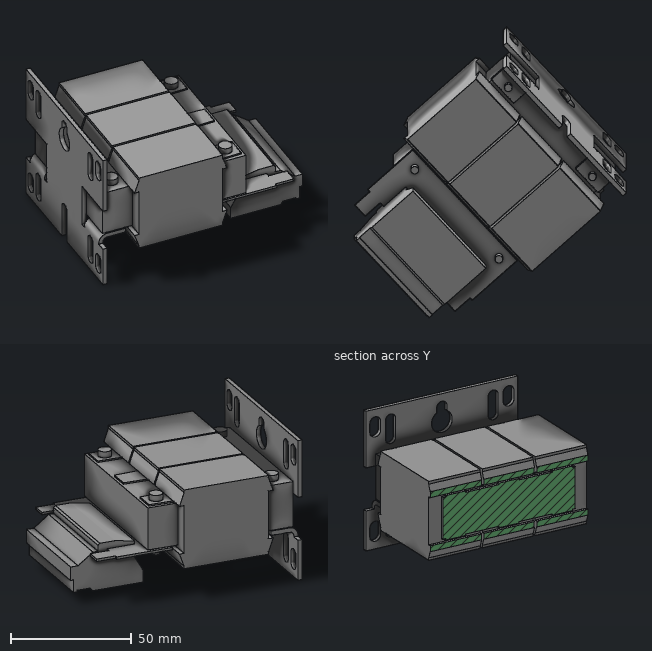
import cadquery as cq
import math


PLATE_WIDTH = 74.0
PLATE_HEIGHT = 63.0
PLATE_THICKNESS = 2.0
OUTER_SLOT_X, OUTER_SLOT_Z = 32.5, 23.5
OUTER_SLOT_LENGTH, OUTER_SLOT_WIDTH = 9.0, 5.2
INNER_SLOT_X, INNER_SLOT_Z = 25.0, 21.0
INNER_SLOT_LENGTH, INNER_SLOT_WIDTH = 13.3, 4.8
KEYHOLE_Z = 19.0
KEYHOLE_DIAMETER = 10.0
KEYHOLE_NECK_WIDTH = 5.0
KEYHOLE_TOP_Z = 28.0
BOTTOM_SLOT_WIDTH = 5.0
BOTTOM_SLOT_TOP_Z = -14.0
WINDOW_INNER_X = 17.0
WINDOW_TOP_Z, WINDOW_BOTTOM_Z = 5.9, -13.4

CORE_WIDTH = 64.6
CORE_Z = 1.15
CORE_HEIGHT = 19.0
INSULATION_THICKNESS = 0.65
YOKE_FRONT_END = 15.3
YOKE_REAR_START = 54.1
YOKE_REAR_END = 68.3
CORE_BOTTOM = CORE_Z - CORE_HEIGHT / 2
CORE_TOP = CORE_Z + CORE_HEIGHT / 2
STACK_BOTTOM = CORE_BOTTOM - INSULATION_THICKNESS
STACK_TOP = CORE_TOP + INSULATION_THICKNESS

COIL_PITCH = 25.8
CENTRE_COIL_WIDTH = 24.8
COILS_WIDTH = 77.0
COIL_GAP = COIL_PITCH - CENTRE_COIL_WIDTH
OUTER_COIL_WIDTH = (COILS_WIDTH - CENTRE_COIL_WIDTH) / 2 - COIL_GAP
COIL_Z = 1.0
COIL_HALF_HEIGHT = 17.8
COIL_FRONT, COIL_REAR = 16.0, 54.6
FLARE_DEPTH = 2.1
FLARE_SHOULDER = 1.85
FLARE_START = 16.6
FLARE_TIP = 11.4
FLARE_BASE = 10.75

TONGUE_X = 26.0
TONGUE_TIP_WIDTH = 9.2
TONGUE_ROOT_WIDTH = 10.0
TONGUE_END = 67.05

BOLT_X = 26.0
BOLT_ROWS_Y = (9.1, 61.8)
BOLT_HEAD_DIAMETER = 5.8
BOLT_HEAD_TOP = 14.0
BOLT_SHANK_DIAMETER = 3.2
BOLT_END = -13.4

TAB_OUTER_X, TAB_INNER_X = 33.0, 19.1
TAB_END = 12.4
BEND_INNER_RADIUS = 2.0
BEND_OUTER_RADIUS = BEND_INNER_RADIUS + PLATE_THICKNESS

BRACKET_THICKNESS = 1.05
BRACKET_FRONT, BRACKET_REAR = 57.2, 82.6
BRACKET_EAR_X = 27.75
BRACKET_EAR_WIDTH = 6.5
BRACKET_EAR_END = 91.1

TERMINAL_WIDTH = 45.0
BLOCK_BOTTOM, BLOCK_TOP = -26.9, -5.95
BLOCK_FOOT_Y, BLOCK_NECK_Y = 66.0, 70.0
BLOCK_SLOPE_BOTTOM, BLOCK_SLOPE_TOP = -21.4, -14.7
CAP_FRONT_Z = -7.6
CAP_FLAT_START, CAP_REAR = 78.9, 86.7
CAP_CHAMFER = 0.8
LEDGE_END, LEDGE_Z = 89.0, -9.4
NOSE_START, NOSE_END = 95.8, 99.2
NOSE_BOTTOM, NOSE_TOP = -20.5, -14.4
LIP_START, LIP_END = 96.1, 97.9
LIP_BOTTOM = -26.2
UNDERCUT_START, UNDERCUT_Z = 90.2, -25.5
UNDERCUT_RAMP = 1.1


def box(x_range, y_range, z_range):
    """Axis-aligned block between the given limits."""
    size = [high - low for low, high in (x_range, y_range, z_range)]
    corner = (x_range[0], y_range[0], z_range[0])
    return cq.Workplane("XY").box(*size, centered=False).translate(corner)


def centred_box(width, y_range, z_range, x=0.0):
    """Block of the given width centred on x."""
    return box((x - width / 2, x + width / 2), y_range, z_range)


def extrude_side_profile(sketch, x_start, width):
    """Extrude a closed YZ outline along +X from x_start."""
    return sketch.close().extrude(width).translate((x_start, 0, 0))


def plate_sketch():
    """Sketch plane on the plate front, X to the right and Z up; its normal points to -Y."""
    return cq.Workplane("XZ")


def plate_slots(x, z, length, width):
    """Four vertical slots placed symmetrically about the plate centre."""
    centres = [(sx * x, sz * z) for sx in (-1, 1) for sz in (-1, 1)]
    return plate_sketch().pushPoints(centres).slot2D(length, width, 90).extrude(-PLATE_THICKNESS)


def keyhole():
    neck_radius = KEYHOLE_NECK_WIDTH / 2
    neck_length = KEYHOLE_TOP_Z - KEYHOLE_Z + neck_radius
    neck_centre = KEYHOLE_TOP_Z - neck_length / 2
    circle = plate_sketch().center(0, KEYHOLE_Z).circle(KEYHOLE_DIAMETER / 2).extrude(-PLATE_THICKNESS)
    neck = (
        plate_sketch()
        .center(0, neck_centre)
        .slot2D(neck_length, KEYHOLE_NECK_WIDTH, 90)
        .extrude(-PLATE_THICKNESS)
    )
    return circle.union(neck)


def bottom_slot():
    radius = BOTTOM_SLOT_WIDTH / 2
    shoulder = BOTTOM_SLOT_TOP_Z - radius
    return (
        plate_sketch()
        .moveTo(-radius, -PLATE_HEIGHT / 2)
        .lineTo(-radius, shoulder)
        .threePointArc((0, BOTTOM_SLOT_TOP_Z), (radius, shoulder))
        .lineTo(radius, -PLATE_HEIGHT / 2)
        .close()
        .extrude(-PLATE_THICKNESS)
    )


def mounting_plate():
    depth = (0, PLATE_THICKNESS)
    half_height = PLATE_HEIGHT / 2
    plate = centred_box(PLATE_WIDTH, depth, (-half_height, half_height))
    plate = plate.cut(plate_slots(OUTER_SLOT_X, OUTER_SLOT_Z, OUTER_SLOT_LENGTH, OUTER_SLOT_WIDTH))
    plate = plate.cut(plate_slots(INNER_SLOT_X, INNER_SLOT_Z, INNER_SLOT_LENGTH, INNER_SLOT_WIDTH))
    plate = plate.cut(keyhole()).cut(bottom_slot())
    window_width = PLATE_WIDTH / 2 - WINDOW_INNER_X
    window_x = WINDOW_INNER_X + window_width / 2
    for side in (-1, 1):
        window = centred_box(window_width, depth, (WINDOW_BOTTOM_Z, WINDOW_TOP_Z), side * window_x)
        plate = plate.cut(window)
    return plate


def bent_tab(side):
    """Tab bent out of the plate, lying flat under the front yoke."""
    top = STACK_BOTTOM
    centre_y = BEND_OUTER_RADIUS
    centre_z = top - BEND_OUTER_RADIUS
    diagonal = math.sqrt(0.5)
    outer_mid = (centre_y - BEND_OUTER_RADIUS * diagonal, centre_z + BEND_OUTER_RADIUS * diagonal)
    inner_mid = (centre_y - BEND_INNER_RADIUS * diagonal, centre_z + BEND_INNER_RADIUS * diagonal)
    outline = (
        cq.Workplane("YZ")
        .moveTo(0, WINDOW_BOTTOM_Z)
        .lineTo(0, centre_z)
        .threePointArc(outer_mid, (centre_y, top))
        .lineTo(TAB_END, top)
        .lineTo(TAB_END, top - PLATE_THICKNESS)
        .lineTo(centre_y, top - PLATE_THICKNESS)
        .threePointArc(inner_mid, (PLATE_THICKNESS, centre_z))
        .lineTo(PLATE_THICKNESS, WINDOW_BOTTOM_Z)
    )
    x_start = TAB_INNER_X if side > 0 else -TAB_OUTER_X
    return extrude_side_profile(outline, x_start, TAB_OUTER_X - TAB_INNER_X)


def yokes():
    """Front yoke with full-width insulation above and below, and the rear yoke."""
    front = centred_box(CORE_WIDTH, (PLATE_THICKNESS, YOKE_FRONT_END), (STACK_BOTTOM, STACK_TOP))
    rear = centred_box(CORE_WIDTH, (YOKE_REAR_START, YOKE_REAR_END), (CORE_BOTTOM, CORE_TOP))
    return front.union(rear)


def coil(x, width):
    """Wound coil with flared end flanges."""
    profile = (
        cq.Workplane("YZ")
        .moveTo(COIL_FRONT, COIL_HALF_HEIGHT)
        .lineTo(COIL_REAR, COIL_HALF_HEIGHT)
        .lineTo(COIL_REAR, FLARE_START)
        .lineTo(COIL_REAR + FLARE_SHOULDER, FLARE_TIP)
        .lineTo(COIL_REAR + FLARE_DEPTH, FLARE_BASE)
        .lineTo(COIL_REAR, FLARE_BASE)
        .lineTo(COIL_REAR, 0)
        .lineTo(COIL_FRONT, 0)
        .lineTo(COIL_FRONT, FLARE_BASE)
        .lineTo(COIL_FRONT - FLARE_DEPTH, FLARE_BASE)
        .lineTo(COIL_FRONT - FLARE_SHOULDER, FLARE_TIP)
        .lineTo(COIL_FRONT, FLARE_START)
    )
    upper = extrude_side_profile(profile, x - width / 2, width)
    lower = upper.mirror("XY")
    return upper.union(lower).translate((0, 0, COIL_Z))


def coils():
    outer_x = (COILS_WIDTH - OUTER_COIL_WIDTH) / 2
    body = coil(0, CENTRE_COIL_WIDTH)
    for side in (-1, 1):
        body = body.union(coil(side * outer_x, OUTER_COIL_WIDTH))
    return body


def leg_ends():
    """Short stretches of the three core legs between the front yoke and the coils."""
    inner_edge = CENTRE_COIL_WIDTH / 2 + COIL_GAP
    span = (YOKE_FRONT_END, COIL_FRONT)
    height = (STACK_BOTTOM, STACK_TOP)
    legs = centred_box(CENTRE_COIL_WIDTH, span, height)
    for x_range in ((-CORE_WIDTH / 2, -inner_edge), (inner_edge, CORE_WIDTH / 2)):
        legs = legs.union(box(x_range, span, height))
    return legs


def tongue(x):
    """Tapered insulation tongue lying on both faces of the rear yoke."""
    root = TONGUE_ROOT_WIDTH / 2
    tip = TONGUE_TIP_WIDTH / 2
    outline = [(x - root, COIL_REAR), (x + root, COIL_REAR), (x + tip, TONGUE_END), (x - tip, TONGUE_END)]
    upper = cq.Workplane("XY").workplane(offset=CORE_TOP).polyline(outline).close()
    lower = cq.Workplane("XY").workplane(offset=STACK_BOTTOM).polyline(outline).close()
    return upper.extrude(INSULATION_THICKNESS).union(lower.extrude(INSULATION_THICKNESS))


def bolt(x, y):
    head = (
        cq.Workplane("XY", origin=(x, y, CORE_TOP))
        .circle(BOLT_HEAD_DIAMETER / 2)
        .extrude(BOLT_HEAD_TOP - CORE_TOP)
    )
    shank = (
        cq.Workplane("XY", origin=(x, y, BOLT_END))
        .circle(BOLT_SHANK_DIAMETER / 2)
        .extrude(CORE_TOP - BOLT_END)
    )
    return head.union(shank)


def terminal_bracket():
    """Flat sheet under the rear yoke with two ears at its end."""
    height = (STACK_BOTTOM - BRACKET_THICKNESS, STACK_BOTTOM)
    bracket = centred_box(CORE_WIDTH, (BRACKET_FRONT, BRACKET_REAR), height)
    for side in (-1, 1):
        ear = centred_box(BRACKET_EAR_WIDTH, (BRACKET_REAR, BRACKET_EAR_END), height, side * BRACKET_EAR_X)
        bracket = bracket.union(ear)
    return bracket


def terminal_block():
    outline = cq.Workplane("YZ").polyline([
        (BLOCK_FOOT_Y, BLOCK_BOTTOM),
        (BLOCK_FOOT_Y, BLOCK_SLOPE_BOTTOM),
        (BLOCK_NECK_Y, BLOCK_SLOPE_TOP),
        (BLOCK_NECK_Y, CAP_FRONT_Z),
        (CAP_FLAT_START, BLOCK_TOP),
        (CAP_REAR - CAP_CHAMFER, BLOCK_TOP),
        (CAP_REAR, BLOCK_TOP - CAP_CHAMFER),
        (CAP_REAR, LEDGE_Z),
        (LEDGE_END, LEDGE_Z),
        (NOSE_START, NOSE_TOP),
        (NOSE_END, NOSE_TOP),
        (NOSE_END, NOSE_BOTTOM),
        (LIP_END, NOSE_BOTTOM),
        (LIP_END, LIP_BOTTOM),
        (LIP_START, LIP_BOTTOM),
        (LIP_START, UNDERCUT_Z),
        (UNDERCUT_START, UNDERCUT_Z),
        (UNDERCUT_START - UNDERCUT_RAMP, BLOCK_BOTTOM),
    ])
    return extrude_side_profile(outline, -TERMINAL_WIDTH / 2, TERMINAL_WIDTH)


def build():
    part = mounting_plate().union(yokes()).union(leg_ends()).union(coils())
    for x in (-TONGUE_X, 0, TONGUE_X):
        part = part.union(tongue(x))
    part = part.union(terminal_bracket()).union(terminal_block())
    for side in (-1, 1):
        part = part.union(bent_tab(side))
        for y in BOLT_ROWS_Y:
            part = part.union(bolt(side * BOLT_X, y))
    return part


result = build()